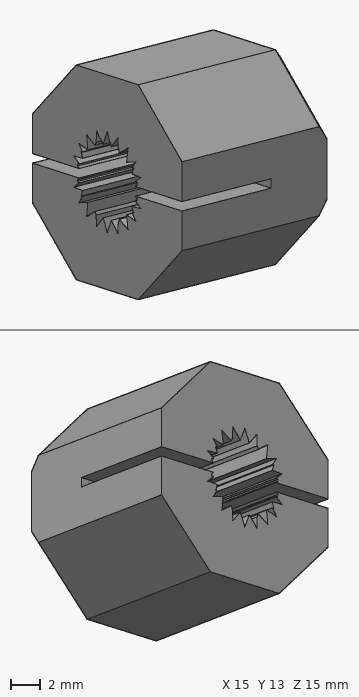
import cadquery as cq
import math

width = 15.0
length = 13.0
chamfer = 0.7
corner_cut = width * (1 - math.tan(math.radians(22.5))) / 2

slot_height = 0.66
slot_depth = 8.0
bore_depth = slot_depth
tip_radius = 3.51
tooth_pitch = 18.0

front_y = -length / 2

quadrant_roots = [
    [(0.4, 2.56)],
    [(1.11, 2.54), (1.23, 2.31)],
    [(1.95, 1.83)],
    [(2.49, 1.55), (2.61, 1.55), (2.48, 1.12)],
    [(2.8, 0.66), (2.97, 0.6), (2.97, 0.48), (2.84, slot_height / 2)],
]


def tooth_tip(index):
    """Tip of a tooth, counted from the top of the bore towards +X."""
    angle = math.radians(index * tooth_pitch)
    return (tip_radius * math.sin(angle), tip_radius * math.cos(angle))


def front_extrusion(points, depth):
    """Extrude a closed XZ outline from the front face into the body."""
    plane = cq.Workplane("XZ", origin=(0, front_y, 0))
    return plane.polyline(points).close().extrude(-depth)


def make_body():
    """Octagonal prism with six of its eight back edges chamfered."""
    half = width / 2
    flat = half - corner_cut
    octagon = [
        (-flat, half), (flat, half), (half, flat), (half, -flat),
        (flat, -half), (-flat, -half), (-half, -flat), (-half, flat),
    ]
    body = front_extrusion(octagon, length)
    return body.faces(">Y").edges("not |Z").chamfer(chamfer)


def make_bore():
    """Toothed bore: one quadrant mirrored into the other three."""
    quadrant = []
    for index, roots in enumerate(quadrant_roots):
        quadrant.append(tooth_tip(index))
        quadrant.extend(roots)
    right_half = quadrant + [(x, -z) for x, z in reversed(quadrant)]
    left_half = [(-x, z) for x, z in reversed(right_half[1:-1])]
    return front_extrusion(right_half + left_half, bore_depth)


def make_slot():
    """Slot across the full width of the body."""
    center_y = front_y + slot_depth / 2
    return cq.Workplane("XY").box(width, slot_depth, slot_height).translate((0, center_y, 0))


result = make_body().cut(make_bore()).cut(make_slot())